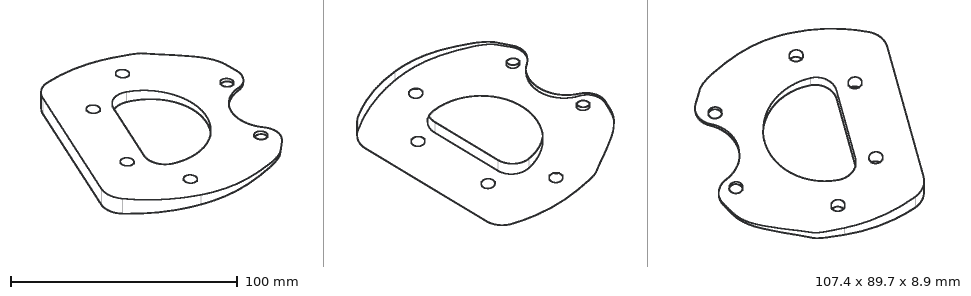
import cadquery as cq
import math

width = 107.4
half_width = width / 2
back_y = 49.7
front_y = -40.0
front_thickness = 8.9
back_thickness = 1.1

flank_radius = 74.1
flank_sweep = math.radians(27.3)

lobe_radius = 9.0
lobe_x = 23.4
lobe_y = back_y - lobe_radius
lobe_start_angle = math.radians(63)
notch_y = 52.9
shoulder_points = [(51.7, 15.7), (43.5, 34.4), (35.4, 44.6)]

window_radius = 28.0
window_center_y = -4.3
window_flat_y = -13.1
window_corner_radius = 9.5

hole_diameter = 6.1
side_hole_x = 41.2
inner_hole_x = side_hole_x / 2
rear_hole_y = 41.4
front_hole_y = -21.9


def on_circle(center_x, center_y, radius, angle):
    return (center_x + radius * math.cos(angle), center_y + radius * math.sin(angle))


def mirrored(point):
    return (-point[0], point[1])


def make_outline():
    """Closed plate outline, symmetric about the Y axis."""
    flank_center_x = half_width - flank_radius
    flank_mid = on_circle(flank_center_x, 0, flank_radius, -flank_sweep / 2)
    flank_end = on_circle(flank_center_x, 0, flank_radius, -flank_sweep)
    corner_sweep = math.pi / 2 - flank_sweep
    corner_length = (flank_end[1] - front_y) / math.tan(corner_sweep / 2)
    front_corner = (flank_end[0] - corner_length, front_y)

    lobe_start = on_circle(lobe_x, lobe_y, lobe_radius, lobe_start_angle)
    lobe_start_direction = (-math.sin(lobe_start_angle), math.cos(lobe_start_angle))
    lobe_end_angle = math.atan2(notch_y - lobe_y, -lobe_x)
    lobe_mid_angle = (lobe_start_angle + lobe_end_angle) / 2
    lobe_mid = on_circle(lobe_x, lobe_y, lobe_radius, lobe_mid_angle)
    lobe_end = on_circle(lobe_x, lobe_y, lobe_radius, lobe_end_angle)
    notch_radius = math.hypot(lobe_x, notch_y - lobe_y) - lobe_radius
    notch_bottom = (0, notch_y - notch_radius)

    right_shoulder = [(half_width, 0)] + shoulder_points + [lobe_start]
    left_shoulder = [mirrored(point) for point in reversed(right_shoulder)]
    left_start_direction = (lobe_start_direction[0], -lobe_start_direction[1])

    edges = [
        cq.Edge.makeLine(cq.Vector(*mirrored(front_corner)), cq.Vector(*front_corner)),
        cq.Edge.makeTangentArc(
            cq.Vector(*front_corner), cq.Vector(1, 0), cq.Vector(*flank_end)
        ),
        arc(flank_end, flank_mid, (half_width, 0)),
        spline(right_shoulder, (0, 1), lobe_start_direction),
        arc(lobe_start, lobe_mid, lobe_end),
        arc(lobe_end, notch_bottom, mirrored(lobe_end)),
        arc(mirrored(lobe_end), mirrored(lobe_mid), mirrored(lobe_start)),
        spline(left_shoulder, left_start_direction, (0, -1)),
        arc((-half_width, 0), mirrored(flank_mid), mirrored(flank_end)),
        cq.Edge.makeTangentArc(
            cq.Vector(*mirrored(front_corner)), cq.Vector(-1, 0), cq.Vector(*mirrored(flank_end))
        ),
    ]
    return cq.Wire.assembleEdges(edges)


def arc(start, middle, end):
    return cq.Edge.makeThreePointArc(cq.Vector(*start), cq.Vector(*middle), cq.Vector(*end))


def spline(points, start_direction, end_direction):
    tangents = [cq.Vector(*start_direction), cq.Vector(*end_direction)]
    return cq.Edge.makeSpline([cq.Vector(*point) for point in points], tangents=tangents)


def make_plate():
    """Outline trimmed to a wedge, thick in front and thin at the back."""
    blank = cq.Solid.extrudeLinear(make_outline(), [], cq.Vector(0, 0, front_thickness))
    blank = cq.Workplane(obj=blank.translate(cq.Vector(0, 0, -front_thickness / 2)))
    wedge = (
        cq.Workplane("YZ")
        .polyline([
            (front_y, -front_thickness / 2),
            (back_y, -back_thickness / 2),
            (back_y, back_thickness / 2),
            (front_y, front_thickness / 2),
        ])
        .close()
        .extrude(half_width, both=True)
    )
    return blank.intersect(wedge)


def make_window():
    """Circle cut off by a straight front edge, with rounded corners."""
    drop = window_center_y - window_flat_y
    half_chord = math.sqrt(window_radius**2 - drop**2)
    return (
        cq.Workplane("XY")
        .moveTo(-half_chord, window_flat_y)
        .lineTo(half_chord, window_flat_y)
        .threePointArc((0, window_center_y + window_radius), (-half_chord, window_flat_y))
        .close()
        .extrude(front_thickness, both=True)
        .edges("|Z")
        .fillet(window_corner_radius)
    )


def make_holes():
    right_holes = [(side_hole_x, 0), (inner_hole_x, rear_hole_y), (inner_hole_x, front_hole_y)]
    return (
        cq.Workplane("XY")
        .pushPoints(right_holes + [mirrored(point) for point in right_holes])
        .circle(hole_diameter / 2)
        .extrude(front_thickness, both=True)
    )


result = make_plate().cut(make_window()).cut(make_holes())